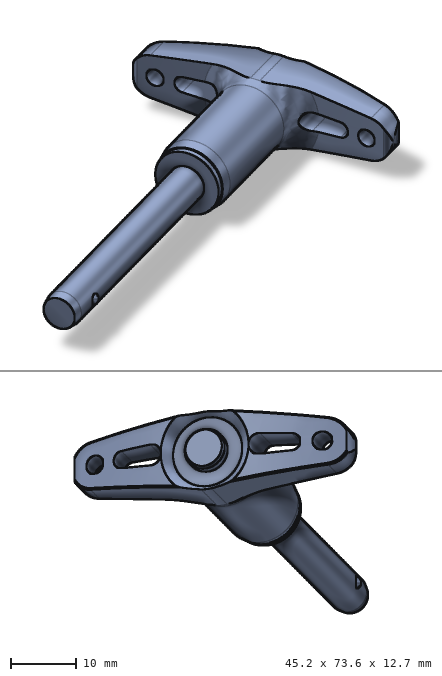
import cadquery as cq
import math


TOTAL_LENGTH = 73.6
HANDLE_SPAN = 45.2
HANDLE_DEPTH = 12.65

PIN_LENGTH = 42.0
PIN_RADIUS = 3.0
TIP_RADIUS = 2.7
TIP_TAPER_LENGTH = 1.6
BALL_RADIUS = 1.0
BALL_REACH = 3.5
BALL_FROM_TIP = 6.1

STEM_RADIUS = 5.95
COLLAR_RADIUS = 5.5
COLLAR_LENGTH = 1.1
SHOULDER_RADIUS = 5.7
SHOULDER_LENGTH = 1.85
SHOULDER_TOP_Y = COLLAR_LENGTH + SHOULDER_LENGTH

CREST_DEPTH = 0.15
END_CORNER_DEPTH = 7.5
UNDERSIDE_MID_DEPTH = 6.85
BUTTON_FACE_Y = TOTAL_LENGTH - PIN_LENGTH
CREST_Y = BUTTON_FACE_Y - CREST_DEPTH
END_CORNER_Y = BUTTON_FACE_Y - END_CORNER_DEPTH
UNDERSIDE_MID_Y = BUTTON_FACE_Y - UNDERSIDE_MID_DEPTH

END_RADIUS = 3.9
END_TOP_X = 22.0
END_CORNER_X = 22.9
END_FILLET = 1.1
CROWN_RADIUS = 76.55
FLARE_RADIUS = 4.0
RIM_CHAMFER = 0.2

BUTTON_RADIUS = 3.25
BUTTON_BEVEL = 0.3
BUTTON_BEVEL_HEIGHT = 0.5
DISH_TOP_RADIUS = 7.4
DISH_DEPTH = 1.85
DISH_FLOOR_Y = CREST_Y - DISH_DEPTH

HOLE_RADIUS = 1.5
HOLE_X = 18.4
SLOT_INNER_X = 7.1
SLOT_OUTER_X = 15.1
SLOT_INNER_RADIUS = 1.7
SLOT_OUTER_RADIUS = 1.4

SELECT_MARGIN = 0.15

HALF_SPAN = HANDLE_SPAN / 2
HALF_DEPTH = HANDLE_DEPTH / 2
CROWN_CENTRE_Y = CREST_Y - CROWN_RADIUS


def tangent_points(x1, r1, x2, r2):
    """Upper tangent points of two circles centred on the X axis."""
    tilt = math.asin((r1 - r2) / (x2 - x1))
    return [(x + r * math.sin(tilt), r * math.cos(tilt)) for x, r in ((x1, r1), (x2, r2))]


def across_pin(base_y):
    """Workplane across the pin axis at y = base_y; it extrudes towards +Y, its sketch is (X, -Z)."""
    plane = cq.Plane(origin=(0, base_y, 0), xDir=(1, 0, 0), normal=(0, 1, 0))
    return cq.Workplane(plane)


def turned(points):
    """Solid of revolution about Y from a closed (radius, y) outline."""
    return cq.Workplane("XY").polyline(points).close().revolve(360, (0, 0, 0), (0, 1, 0))


def crown_y(x):
    """Height of the crowned handle top at a distance x from the pin axis."""
    return CROWN_CENTRE_Y + math.sqrt(CROWN_RADIUS**2 - x**2)


def handle_bar():
    """Prism along Z, wider than the handle, with a crowned top and a bowed underside."""
    end_top = (END_TOP_X, crown_y(END_TOP_X))
    bar = (
        cq.Workplane("XY")
        .moveTo(-END_TOP_X, end_top[1])
        .threePointArc((0, CREST_Y), end_top)
        .lineTo(END_CORNER_X, END_CORNER_Y)
        .threePointArc((0, UNDERSIDE_MID_Y), (-END_CORNER_X, END_CORNER_Y))
        .close()
        .extrude(HALF_SPAN, both=True)
    )
    lower_corners = cq.selectors.BoxSelector(
        (-HANDLE_SPAN, END_CORNER_Y - SELECT_MARGIN, -HANDLE_SPAN),
        (HANDLE_SPAN, END_CORNER_Y + SELECT_MARGIN, HANDLE_SPAN),
    )
    return bar.edges("|Z").edges(lower_corners).fillet(END_FILLET)


def flared_bar():
    """Handle bar with the upper stem blended into its underside by a concave flare."""
    stem = across_pin(SHOULDER_TOP_Y).circle(STEM_RADIUS).extrude(UNDERSIDE_MID_Y - SHOULDER_TOP_Y)
    joint = cq.selectors.BoxSelector(
        (-STEM_RADIUS - SELECT_MARGIN, END_CORNER_Y, -STEM_RADIUS - SELECT_MARGIN),
        (STEM_RADIUS + SELECT_MARGIN, UNDERSIDE_MID_Y + SELECT_MARGIN, STEM_RADIUS + SELECT_MARGIN),
        boundingbox=True,
    )
    return handle_bar().union(stem).edges(joint).fillet(FLARE_RADIUS)


def handle_outline():
    """Tapering outline of the handle across the pin axis, with round ends."""
    middle, end = tangent_points(0, HALF_DEPTH, HALF_SPAN - END_RADIUS, END_RADIUS)
    return (
        across_pin(0)
        .moveTo(-middle[0], middle[1])
        .threePointArc((0, HALF_DEPTH), middle)
        .lineTo(*end)
        .threePointArc((HALF_SPAN, 0), (end[0], -end[1]))
        .lineTo(middle[0], -middle[1])
        .threePointArc((0, -HALF_DEPTH), (-middle[0], -middle[1]))
        .lineTo(-end[0], -end[1])
        .threePointArc((-HALF_SPAN, 0), (-end[0], end[1]))
        .close()
        .extrude(BUTTON_FACE_Y)
    )


def handle():
    """Handle with its flare trimmed to the outline and the top rim broken."""
    body = flared_bar().intersect(handle_outline())
    crown = body.faces(cq.selectors.NearestToPointSelector((0, CREST_Y, 0)))
    return crown.edges("not |Z").chamfer(RIM_CHAMFER)


def handle_openings():
    """A tapered slot and a round hole through each arm of the handle."""
    inner, outer = tangent_points(
        SLOT_INNER_X + SLOT_INNER_RADIUS,
        SLOT_INNER_RADIUS,
        SLOT_OUTER_X - SLOT_OUTER_RADIUS,
        SLOT_OUTER_RADIUS,
    )
    slot = (
        across_pin(0)
        .moveTo(*inner)
        .lineTo(*outer)
        .threePointArc((SLOT_OUTER_X, 0), (outer[0], -outer[1]))
        .lineTo(inner[0], -inner[1])
        .threePointArc((SLOT_INNER_X, 0), inner)
        .close()
        .extrude(BUTTON_FACE_Y)
    )
    hole = across_pin(0).center(HOLE_X, 0).circle(HOLE_RADIUS).extrude(BUTTON_FACE_Y)
    one_arm = slot.union(hole)
    return one_arm.union(one_arm.mirror("YZ"))


def dish():
    """Flat-floored recess around the button, with a 45 degree conical wall."""
    floor_radius = DISH_TOP_RADIUS - DISH_DEPTH
    rim_radius = floor_radius + BUTTON_FACE_Y - DISH_FLOOR_Y
    return turned([
        (0, DISH_FLOOR_Y),
        (floor_radius, DISH_FLOOR_Y),
        (rim_radius, BUTTON_FACE_Y),
        (0, BUTTON_FACE_Y),
    ])


def button():
    """Push button standing in the dish, with a bevelled top rim."""
    return turned([
        (0, DISH_FLOOR_Y),
        (BUTTON_RADIUS, DISH_FLOOR_Y),
        (BUTTON_RADIUS, BUTTON_FACE_Y - BUTTON_BEVEL_HEIGHT),
        (BUTTON_RADIUS - BUTTON_BEVEL, BUTTON_FACE_Y),
        (0, BUTTON_FACE_Y),
    ])


def stem_and_pin():
    """Stem with its stepped collar, and the pin with its tapered tip."""
    return turned([
        (0, -PIN_LENGTH),
        (TIP_RADIUS, -PIN_LENGTH),
        (PIN_RADIUS, TIP_TAPER_LENGTH - PIN_LENGTH),
        (PIN_RADIUS, 0),
        (COLLAR_RADIUS, 0),
        (COLLAR_RADIUS, COLLAR_LENGTH),
        (SHOULDER_RADIUS, COLLAR_LENGTH),
        (STEM_RADIUS, SHOULDER_TOP_Y),
        (STEM_RADIUS, UNDERSIDE_MID_Y),
        (0, UNDERSIDE_MID_Y),
    ])


def locking_balls():
    """Two balls protruding from opposite sides of the pin near its tip."""
    centre_x = BALL_REACH - BALL_RADIUS
    centre_y = BALL_FROM_TIP - PIN_LENGTH
    centres = [(centre_x, centre_y), (-centre_x, centre_y)]
    return cq.Workplane("XY").pushPoints(centres).sphere(BALL_RADIUS)


handle_body = handle().cut(dish()).cut(handle_openings())
result = handle_body.union(stem_and_pin()).union(button()).union(locking_balls())